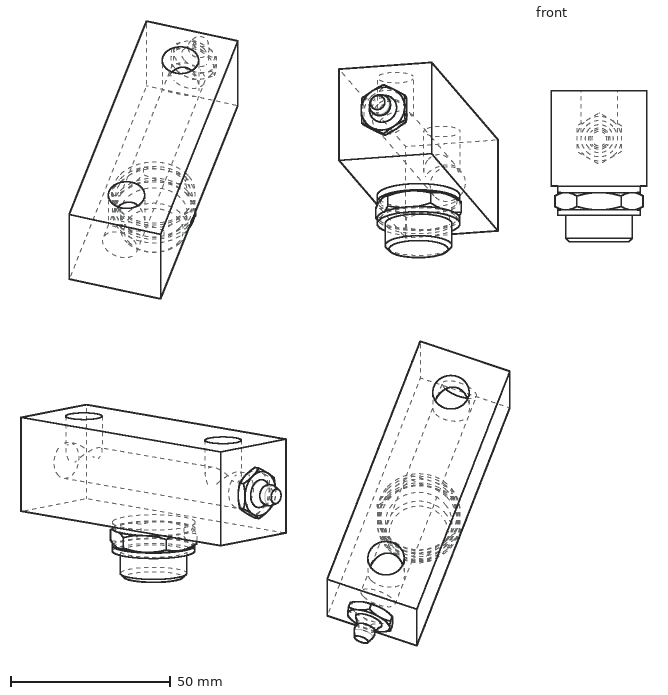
import cadquery as cq
import math

block_side = 30.0
total_length = 95.8
total_height = 47.5
nipple_length = 9.8
block_length = total_length - nipple_length
hole_diameter = 11.4
hole_spacing = 60.0

bore_diameter = hole_diameter
bore_end_margin = 1.9
bore_length = hole_spacing + hole_diameter + 2 * bore_end_margin

flange_diameter = 26.1
collar_depth = 2.0
fitting_hex_depth = 7.5
washer_depth = 9.2
fitting_depth = total_height - block_side
fitting_hex_flats = 24.0
stud_diameter = 21.0
stud_end_diameter = 18.6
stud_chamfer = (stud_diameter - stud_end_diameter) / 2

nipple_hex_flats = 14.0
nipple_hex_height = 3.0
nipple_base_radius = 4.4
nipple_neck_radius = 2.9
nipple_neck_height = 5.5
nipple_ball_radius = 3.4
nipple_shoulder_radius = 3.2
nipple_shoulder_height = 7.8
nipple_tip_radius = 2.3
neck_flare_hollow = 0.2

hex_chamfer_angle = 30.0


def chamfered_hexagon(flats, height):
    """Hexagon standing on Z = 0, corners on X, turned down to the flats at both ends."""
    flat_radius = flats / 2
    corner_radius = flat_radius / math.cos(math.pi / 6)
    chamfer = (corner_radius - flat_radius) * math.tan(math.radians(hex_chamfer_angle))
    hexagon = cq.Workplane("XY").polygon(6, 2 * corner_radius).extrude(height)
    turned_envelope = (
        cq.Workplane("XY")
        .circle(corner_radius)
        .extrude(height)
        .faces("<Z or >Z")
        .chamfer(chamfer, corner_radius - flat_radius)
    )
    return hexagon.intersect(turned_envelope)


def disc(diameter, start_depth, end_depth):
    """Round section of the fitting between two depths."""
    return (
        cq.Workplane("XY")
        .workplane(offset=-end_depth)
        .circle(diameter / 2)
        .extrude(end_depth - start_depth)
    )


def make_block():
    block = cq.Workplane("XY").box(block_side, block_length, block_side, centered=(True, True, False))
    bore = (
        cq.Workplane("XZ")
        .center(0, block_side / 2)
        .circle(bore_diameter / 2)
        .extrude(bore_length / 2, both=True)
    )
    holes = (
        cq.Workplane("XY")
        .workplane(offset=block_side / 2)
        .rarray(1, hole_spacing, 1, 2)
        .circle(hole_diameter / 2)
        .extrude(block_side / 2)
    )
    return block.cut(bore).cut(holes)


def make_fitting():
    collar = disc(flange_diameter, 0, collar_depth)
    hexagon = chamfered_hexagon(fitting_hex_flats, fitting_hex_depth - collar_depth)
    hexagon = hexagon.translate((0, 0, -fitting_hex_depth))
    washer = disc(flange_diameter, fitting_hex_depth, washer_depth)
    stud = disc(stud_diameter, washer_depth, fitting_depth).faces("<Z").chamfer(stud_chamfer)
    return collar.union(hexagon).union(washer).union(stud)


def make_nipple():
    """Grease nipple built along +Z, then laid along +Y with the hexagon corners up and down."""
    flare_middle = (
        (nipple_base_radius + nipple_neck_radius) / 2 - neck_flare_hollow,
        (nipple_hex_height + nipple_neck_height) / 2 + neck_flare_hollow,
    )
    ball_middle = (nipple_ball_radius, (nipple_neck_height + nipple_shoulder_height) / 2)
    head = (
        cq.Workplane("XZ")
        .lineTo(nipple_base_radius, 0)
        .lineTo(nipple_base_radius, nipple_hex_height)
        .threePointArc(flare_middle, (nipple_neck_radius, nipple_neck_height))
        .threePointArc(ball_middle, (nipple_shoulder_radius, nipple_shoulder_height))
        .lineTo(nipple_tip_radius, nipple_length)
        .lineTo(0, nipple_length)
        .close()
        .revolve(360, (0, 0), (0, 1))
    )
    nipple = chamfered_hexagon(nipple_hex_flats, nipple_hex_height).union(head)
    upright = nipple.rotate((0, 0, 0), (0, 0, 1), 90)
    laid_over = upright.rotate((0, 0, 0), (1, 0, 0), -90)
    return laid_over.translate((0, block_length / 2, block_side / 2))


result = make_block().union(make_fitting()).union(make_nipple())